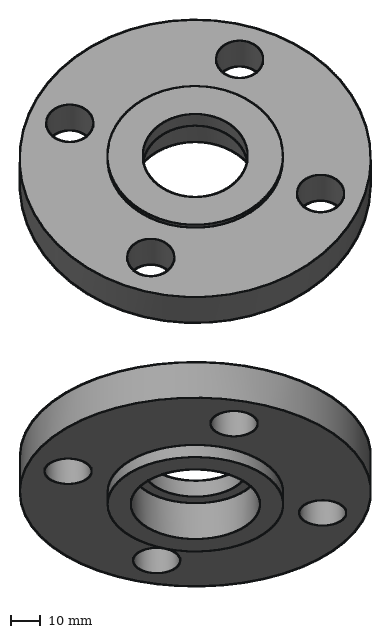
import cadquery as cq

flange_diameter = 117.35
hub_diameter = 58.67
bore_diameter = 35.05
socket_diameter = 43.18

overall_height = 20.57
raised_face_height = 1.6
hub_height = 4.83
socket_depth = 14.2
flange_thickness = overall_height - raised_face_height - hub_height

bolt_hole_count = 4
full_turn = 360
bolt_hole_diameter = 15.75
bolt_circle_diameter = 88.9
first_bolt_angle = 45


def cylinder(diameter, height, base_z=0):
    return cq.Workplane("XY").workplane(offset=base_z).circle(diameter / 2).extrude(height)


def flange_body():
    """Flange disc with the hub below it and the raised face above it."""
    hub_and_raised_face = cylinder(hub_diameter, overall_height)
    disc = cylinder(flange_diameter, flange_thickness, hub_height)
    return hub_and_raised_face.union(disc)


def pipe_passage():
    """Through bore, widened from below by the pipe socket."""
    bore = cylinder(bore_diameter, overall_height)
    socket = cylinder(socket_diameter, socket_depth)
    return bore.union(socket)


def bolt_holes():
    """Evenly spaced through holes on the bolt circle."""
    return (
        cq.Workplane("XY")
        .polarArray(bolt_circle_diameter / 2, first_bolt_angle, full_turn, bolt_hole_count)
        .circle(bolt_hole_diameter / 2)
        .extrude(overall_height)
    )


result = flange_body().cut(pipe_passage()).cut(bolt_holes())